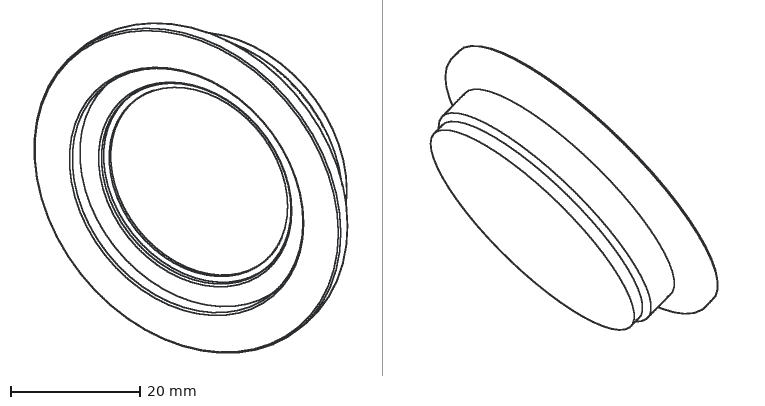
import cadquery as cq
import math

flange_radius = 27.5
flange_front_chamfer = 0.3
flange_rim_fillet = 1.5
flange_cone_angle = 15.0
barrel_radius = 22.3
barrel_start = 4.5
barrel_end = 10.8

bore_radius = 20.7
bore_depth = 2.65
bore_chamfer = 0.35
recess_radius = 17.0
recess_depth = 1.0
recess_chamfer = 0.35
aperture_radius = 16.0
aperture_depth = 0.5

window_radius = 21.35
window_end = 12.7

recess_floor = bore_depth + recess_depth
window_seat = recess_floor + aperture_depth
barrel_chamfer = barrel_radius - window_radius
cone_drop = (flange_radius - barrel_radius) * math.tan(math.radians(flange_cone_angle))
flange_edge = barrel_start - cone_drop


def revolve_about_y(profile):
    """Turn a closed (radius, y) profile a full turn about the Y axis."""
    return profile.close().revolve(360, (0, 0, 0), (0, 1, 0))


def rim_fillet_points():
    """Start, middle and end of the arc that blends the flange rim into the cone."""
    turn = math.radians(90 - flange_cone_angle)
    center_radius = flange_radius - flange_rim_fillet
    center_y = flange_edge - flange_rim_fillet * math.tan(turn / 2)
    return [
        (
            center_radius + flange_rim_fillet * math.cos(angle),
            center_y + flange_rim_fillet * math.sin(angle),
        )
        for angle in (0, turn / 2, turn)
    ]


def make_housing():
    fillet_start, fillet_middle, fillet_end = rim_fillet_points()
    profile = (
        cq.Workplane("XY")
        .moveTo(bore_radius + bore_chamfer, 0)
        .lineTo(flange_radius - flange_front_chamfer, 0)
        .lineTo(flange_radius, flange_front_chamfer)
        .lineTo(*fillet_start)
        .threePointArc(fillet_middle, fillet_end)
        .lineTo(barrel_radius, barrel_start)
        .lineTo(barrel_radius, barrel_end - barrel_chamfer)
        .lineTo(window_radius, barrel_end)
        .lineTo(window_radius, window_seat)
        .lineTo(aperture_radius, window_seat)
        .lineTo(aperture_radius, recess_floor)
        .lineTo(recess_radius, recess_floor)
        .lineTo(recess_radius, bore_depth + recess_chamfer)
        .lineTo(recess_radius + recess_chamfer, bore_depth)
        .lineTo(bore_radius, bore_depth)
        .lineTo(bore_radius, bore_chamfer)
    )
    return revolve_about_y(profile)


def make_window():
    profile = (
        cq.Workplane("XY")
        .moveTo(0, window_seat)
        .lineTo(window_radius, window_seat)
        .lineTo(window_radius, window_end)
        .lineTo(0, window_end)
    )
    return revolve_about_y(profile)


housing = make_housing()
window = make_window()

result = cq.Compound.makeCompound([housing.val(), window.val()])